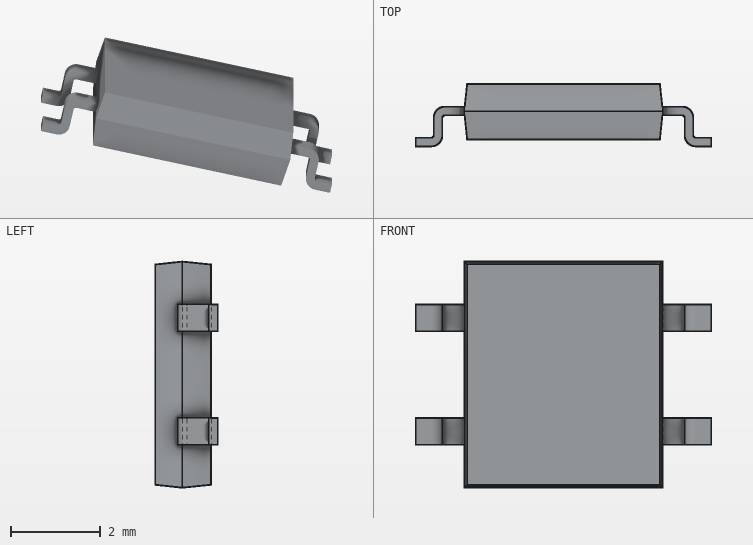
import cadquery as cq

overall_width = 6.6
package_back = 1.4

package_width = 4.435
package_height = 5.05
package_front = 0.15
parting_y = 0.79
draft_inset = 0.065

lead_thickness = 0.2
lead_width = 0.6
lead_pitch = 2.535
foot_length = 0.4
inner_bend_radius = 0.05
outer_bend_radius = inner_bend_radius + lead_thickness


def package_half(face_y):
    """Drafted half of the package, from the parting plane to the flat face at face_y."""
    depth = abs(face_y - parting_y)
    outward = (0, (face_y - parting_y) / depth, 0)
    return (
        cq.Workplane(cq.Plane(origin=(0, parting_y, 0), xDir=(1, 0, 0), normal=outward))
        .rect(package_width, package_height)
        .workplane(offset=depth)
        .rect(package_width - 2 * draft_inset, package_height - 2 * draft_inset)
        .loft(ruled=True)
    )


def left_lead(center_z):
    """Z-bent strip on the -X side; its inner end is trimmed to the drafted package wall."""
    tip_x = -overall_width / 2
    riser_outer_x = tip_x + foot_length
    riser_inner_x = riser_outer_x + lead_thickness
    inner_end_x = -package_width / 2 + draft_inset
    shoulder_front = parting_y - lead_thickness / 2
    shoulder_back = parting_y + lead_thickness / 2

    strip = (
        cq.Workplane("XY", origin=(0, 0, center_z))
        .moveTo(tip_x, 0)
        .lineTo(riser_inner_x, 0)
        .lineTo(riser_inner_x, shoulder_front)
        .lineTo(inner_end_x, shoulder_front)
        .lineTo(inner_end_x, shoulder_back)
        .lineTo(riser_outer_x, shoulder_back)
        .lineTo(riser_outer_x, lead_thickness)
        .lineTo(tip_x, lead_thickness)
        .close()
        .extrude(lead_width / 2, both=True)
    )

    def bend_edge(x, y):
        return cq.selectors.NearestToPointSelector((x, y, center_z))

    strip = strip.edges("|Z").edges(bend_edge(riser_inner_x, 0)).fillet(outer_bend_radius)
    strip = strip.edges("|Z").edges(bend_edge(riser_outer_x, shoulder_back)).fillet(outer_bend_radius)
    strip = strip.edges("|Z").edges(bend_edge(riser_outer_x, lead_thickness)).fillet(inner_bend_radius)
    strip = strip.edges("|Z").edges(bend_edge(riser_inner_x, shoulder_front)).fillet(inner_bend_radius)
    return strip.cut(front_half).cut(back_half)


front_half = package_half(package_front)
back_half = package_half(package_back)

leads = []
for center_z in (-lead_pitch / 2, lead_pitch / 2):
    lead = left_lead(center_z)
    leads.append(lead.val())
    leads.append(lead.mirror("YZ").val())

result = cq.Compound.makeCompound([front_half.val(), back_half.val(), *leads])